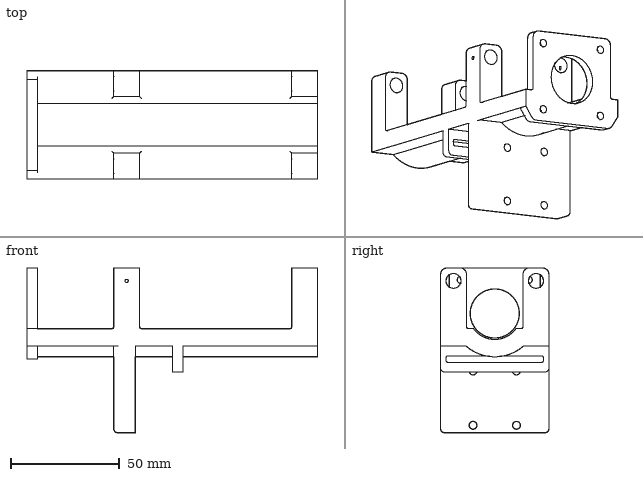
import cadquery as cq

LENGTH = 134.0
WIDTH = 50.0
BASE_THICKNESS = 8.0
TOP_Z = 36.0
CORNER_RADIUS = 3.0
ROOT_FILLET = 1.0

AXIS_Z = 15.0
TROUGH_RADIUS = 12.0
SHELL_RADIUS = TROUGH_RADIUS + BASE_THICKNESS

MOTOR_THICKNESS = 5.0
MOTOR_WIDTH = 42.0
MOTOR_BOTTOM_Z = TOP_Z - MOTOR_WIDTH
MOTOR_BORE = 22.5
MOTOR_HOLE = 3.4
MOTOR_HOLE_PITCH = 31.0

POST_SIZE = 12.0
POST_STARTS = (40.0, LENGTH - POST_SIZE)
ROD_HOLE = 6.8
ROD_Y = (WIDTH - POST_SIZE) / 2
ROD_Z = TOP_Z - POST_SIZE / 2
SET_SCREW_HOLE = 1.5

MOUNT_X = POST_STARTS[0]
MOUNT_THICKNESS = 10.0
MOUNT_BOTTOM_Z = -40.0
MOUNT_FILLET = 2.0
MOUNT_HOLE = 3.5
MOUNT_HOLE_Y = 10.0
MOUNT_HOLE_Z = (-11.5, -36.5)

RIB_X = 67.0
RIB_THICKNESS = 5.0
RIB_BOTTOM_Z = -12.0
RIB_FILLET = 2.0
SLOT_WIDTH = 45.0
SLOT_HEIGHT = 3.0
SLOT_TOP_Z = (RIB_BOTTOM_Z + SLOT_HEIGHT) / 2
SLOT_CORNER_RADIUS = 1.0


def block(x_start, x_size, y_size, z_bottom, z_top, y_center=0.0):
    """Box starting at x_start, centred on y_center, between two heights."""
    box = cq.Workplane("XY").box(x_size, y_size, z_top - z_bottom, centered=(False, True, False))
    return box.translate((x_start, y_center, z_bottom))


def rod_along_x(x_start, length, diameter, points):
    """Cylinders along X centred on (y, z) points."""
    plane = cq.Workplane("YZ").workplane(offset=x_start)
    return plane.pushPoints(points).circle(diameter / 2).extrude(length)


def make_base():
    """Flat plate with the rounded underside of the trough showing below it."""
    plate = block(0, LENGTH, WIDTH, 0, BASE_THICKNESS)
    shell = rod_along_x(0, LENGTH, 2 * SHELL_RADIUS, [(0, AXIS_Z)])
    below_top = block(0, LENGTH, WIDTH, AXIS_Z - SHELL_RADIUS, BASE_THICKNESS)
    return plate.union(shell.intersect(below_top))


def make_motor_plate():
    """Square plate, as wide as the base at base height, tapering in below it."""
    half_motor = MOTOR_WIDTH / 2
    half_base = WIDTH / 2
    upper = block(0, MOTOR_THICKNESS, MOTOR_WIDTH, 0, TOP_Z)
    upper = upper.edges("|X and >Z").fillet(CORNER_RADIUS)
    lower = (
        cq.Workplane("YZ")
        .moveTo(-half_motor, MOTOR_BOTTOM_Z)
        .lineTo(half_motor, MOTOR_BOTTOM_Z)
        .lineTo(half_base, 0)
        .lineTo(half_base, BASE_THICKNESS)
        .lineTo(-half_base, BASE_THICKNESS)
        .lineTo(-half_base, 0)
        .close()
        .extrude(MOTOR_THICKNESS)
        .edges("|X and <Z")
        .fillet(CORNER_RADIUS)
    )
    plate = upper.union(lower)
    roots = cq.selectors.BoxSelector(
        (0, -half_motor - ROOT_FILLET, BASE_THICKNESS - ROOT_FILLET),
        (MOTOR_THICKNESS, half_motor + ROOT_FILLET, BASE_THICKNESS + ROOT_FILLET),
    )
    return plate.edges("|X").edges(roots).fillet(ROOT_FILLET)


def make_post(x_start, side):
    """Rod post on one long side of the base, with a fillet flaring out around its foot."""
    y_center = side * ROD_Y
    post = block(x_start, POST_SIZE, POST_SIZE, 0, TOP_Z, y_center)
    post = post.edges("|X and >Z").fillet(CORNER_RADIUS)
    foot_size = POST_SIZE + 4 * ROOT_FILLET
    foot = block(x_start - 2 * ROOT_FILLET, foot_size, foot_size, 0, BASE_THICKNESS, y_center)
    reach = POST_SIZE / 2 + ROOT_FILLET
    x_center = x_start + POST_SIZE / 2
    roots = cq.selectors.BoxSelector(
        (x_center - reach, y_center - reach, BASE_THICKNESS - ROOT_FILLET),
        (x_center + reach, y_center + reach, BASE_THICKNESS + ROOT_FILLET),
    )
    flared = post.union(foot).edges(roots).fillet(ROOT_FILLET)
    return flared.intersect(block(0, LENGTH, WIDTH, 0, TOP_Z))


def make_mount_plate():
    """Hanging plate with rounded front and bottom edges and four screw holes."""
    plate = block(MOUNT_X, MOUNT_THICKNESS, WIDTH, MOUNT_BOTTOM_Z, 0)
    plate = plate.edges("(<X and (not >Z)) or (|X and <Z)").fillet(MOUNT_FILLET)
    points = [(side * MOUNT_HOLE_Y, z) for side in (-1, 1) for z in MOUNT_HOLE_Z]
    return plate.cut(rod_along_x(MOUNT_X, MOUNT_THICKNESS, MOUNT_HOLE, points))


def make_rib():
    """Cross rib with rounded lower corners."""
    rib = block(RIB_X, RIB_THICKNESS, WIDTH, RIB_BOTTOM_Z, 0)
    return rib.edges("|X and <Z").fillet(RIB_FILLET)


def cut_rib_slot(body):
    """Wide slot through the rib, which also grazes the lowest strip of the trough shell."""
    slot = block(RIB_X, RIB_THICKNESS, SLOT_WIDTH, SLOT_TOP_Z - SLOT_HEIGHT, SLOT_TOP_Z)
    return body.cut(slot.edges("|X").fillet(SLOT_CORNER_RADIUS))


def cut_motor_openings(body):
    """Trough behind the motor plate, and the bore and screw holes through the plate."""
    half_pitch = MOTOR_HOLE_PITCH / 2
    offsets = (-half_pitch, half_pitch)
    screw_points = [(y, AXIS_Z + rise) for y in offsets for rise in offsets]
    trough = rod_along_x(MOTOR_THICKNESS, LENGTH - MOTOR_THICKNESS, 2 * TROUGH_RADIUS, [(0, AXIS_Z)])
    bore = rod_along_x(0, MOTOR_THICKNESS, MOTOR_BORE, [(0, AXIS_Z)])
    screws = rod_along_x(0, MOTOR_THICKNESS, MOTOR_HOLE, screw_points)
    return body.cut(trough).cut(bore).cut(screws)


def cut_rod_holes(body):
    """Rod holes through every post, and set screw holes from outside into the first pair."""
    for side in (-1, 1):
        for x_start in POST_STARTS:
            body = body.cut(rod_along_x(x_start, POST_SIZE, ROD_HOLE, [(side * ROD_Y, ROD_Z)]))
        screw = cq.Solid.makeCylinder(
            SET_SCREW_HOLE / 2,
            POST_SIZE / 2,
            cq.Vector(POST_STARTS[0] + POST_SIZE / 2, side * ROD_Y, ROD_Z),
            cq.Vector(0, side, 0),
        )
        body = body.cut(cq.Workplane(screw))
    return body


body = make_base().union(make_motor_plate()).union(make_mount_plate()).union(make_rib())
for post_start in POST_STARTS:
    for post_side in (-1, 1):
        body = body.union(make_post(post_start, post_side))
body = cut_rib_slot(body)
body = cut_motor_openings(body)
result = cut_rod_holes(body).clean()